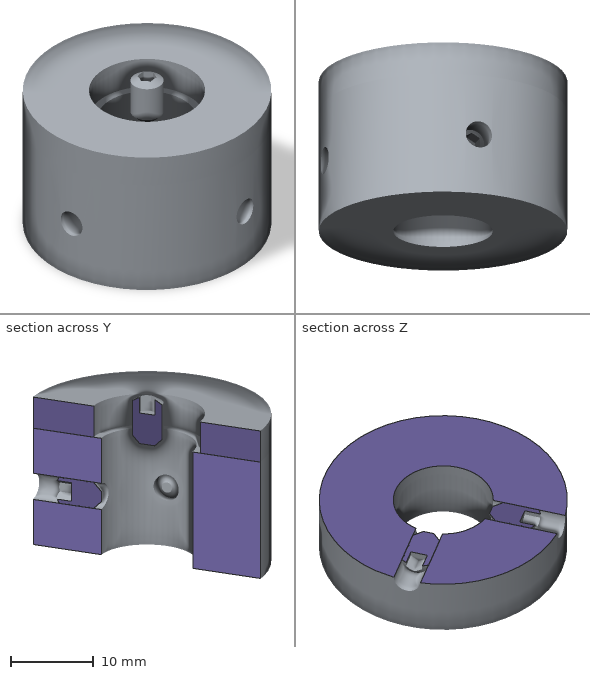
import cadquery as cq
import math

OUTER_DIAMETER = 30
BODY_HEIGHT = 15
LID_THICKNESS = 4.0
BODY_BORE_DIAMETER = 12
LID_BORE_DIAMETER = 14.0

CENTRE_SCREW_DIAMETER = 4.0
SIDE_SCREW_DIAMETER = 3.3
SCREW_LENGTH = 6
HEAD_CONE_ANGLE = 30
TIP_CHAMFER = 1.0
SOCKET_ACROSS_FLATS = 2.0
SOCKET_DEPTH = 2.0

CENTRE_SCREW_TOP = 21
SIDE_HOLE_HEIGHT = 7.5
SIDE_ANGLES = (-90, 0)
SIDE_SCREW_HEAD_RADIUS = BODY_BORE_DIAMETER / 2 + SCREW_LENGTH


def side_plane(angle, radius):
    """Plane at the side hole height, facing radially outward, with its Y axis along +Z."""
    direction = math.radians(angle)
    outward = (math.cos(direction), math.sin(direction), 0)
    sideways = (-math.sin(direction), math.cos(direction), 0)
    origin = (radius * outward[0], radius * outward[1], SIDE_HOLE_HEIGHT)
    return cq.Plane(origin=origin, xDir=sideways, normal=outward)


def make_body():
    """Cylinder with a through bore and radial holes for the side screws."""
    body = cq.Workplane("XY").circle(OUTER_DIAMETER / 2).circle(BODY_BORE_DIAMETER / 2).extrude(BODY_HEIGHT)
    for angle in SIDE_ANGLES:
        hole = cq.Workplane(side_plane(angle, 0)).circle(SIDE_SCREW_DIAMETER / 2).extrude(OUTER_DIAMETER)
        body = body.cut(hole)
    return body


def make_lid():
    """Flat ring resting on the body, with a bore wider than the body's."""
    base = cq.Workplane("XY").workplane(offset=BODY_HEIGHT)
    return base.circle(OUTER_DIAMETER / 2).circle(LID_BORE_DIAMETER / 2).extrude(LID_THICKNESS)


def make_set_screw(head_plane, diameter):
    """Socket set screw whose head lies on the plane and whose shank runs against its normal."""
    radius = diameter / 2
    head_radius = SOCKET_ACROSS_FLATS / 2
    head_cone_height = (radius - head_radius) * math.tan(math.radians(HEAD_CONE_ANGLE))
    half_profile = [
        (0, 0),
        (head_radius, 0),
        (radius, -head_cone_height),
        (radius, TIP_CHAMFER - SCREW_LENGTH),
        (radius - TIP_CHAMFER, -SCREW_LENGTH),
        (0, -SCREW_LENGTH),
    ]
    profile_plane = cq.Plane(origin=head_plane.origin, xDir=head_plane.xDir, normal=-head_plane.yDir)
    shank = cq.Workplane(profile_plane).polyline(half_profile).close().revolve(360, (0, 0), (0, 1))
    across_corners = SOCKET_ACROSS_FLATS / math.cos(math.radians(30))
    socket = (
        cq.Workplane(head_plane)
        .transformed(rotate=(0, 0, 90))
        .polygon(6, across_corners)
        .extrude(-SOCKET_DEPTH)
    )
    return shank.cut(socket)


body = make_body()
lid = make_lid()
centre_screw = make_set_screw(cq.Plane(origin=(0, 0, CENTRE_SCREW_TOP)), CENTRE_SCREW_DIAMETER)
side_screws = [
    make_set_screw(side_plane(angle, SIDE_SCREW_HEAD_RADIUS), SIDE_SCREW_DIAMETER)
    for angle in SIDE_ANGLES
]

result = cq.Compound.makeCompound(
    [body.val(), lid.val(), centre_screw.val(), *[screw.val() for screw in side_screws]]
)